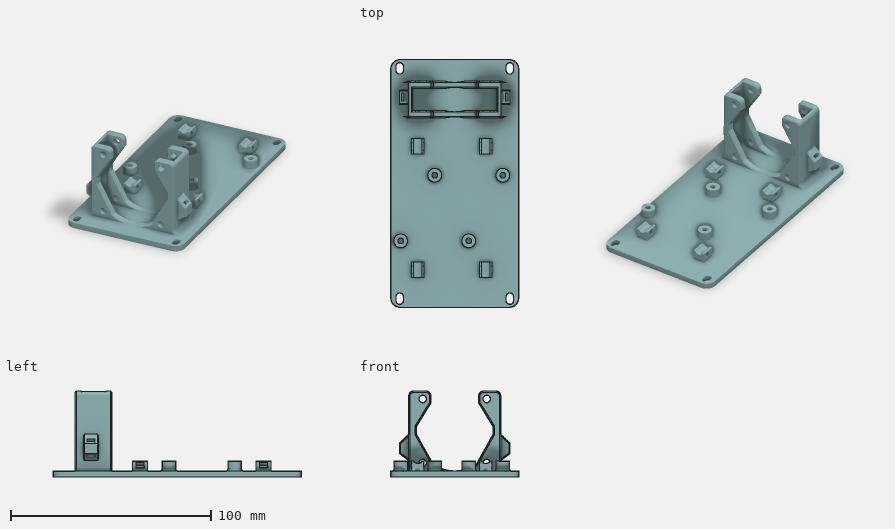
import cadquery as cq
import math

PLATE_LENGTH_X = 64.0
PLATE_LENGTH_Y = 124.0
PLATE_THICKNESS = 3.0
PLATE_CORNER_RADIUS = 5.0

SLOT_WIDTH = 3.6
SLOT_LENGTH = 5.6
SLOT_EDGE_OFFSET = 4.5

FAN_CENTRE_Y = 41.9
FAN_SIZE = 40.0
FAN_HOLE_SPACING = 32.0
FAN_HOLE_DIAMETER = 3.6
AIR_OPENING_RADIUS = 19.9
HOLDER_HALF_WIDTH = 23.0
HOLDER_DEPTH = 18.4
HOLDER_TOP_RADIUS = 2.5
HOLDER_FOOT_RADIUS = 2.6
HOLDER_EDGE_CHAMFER = 0.7
HOLDER_ROOT_Z = 1.0
EAR_TIP_X = 11.9
EAR_TIP_LOW_Z = 37.0
WAIST_X = 19.2
WAIST_TOP_Z = 25.1
WAIST_BOTTOM_Z = 21.5
OPENING_CORNER_X = 10.7
CAVITY_HALF_WIDTH = 21.0
CAVITY_DEPTH = 11.0
CAVITY_FLOOR_RADIUS = 3.5
CAVITY_TOP_FLARE = 0.8

LOOP_CENTRE_Y = 43.1
LOOP_WIDTH = 7.4
LOOP_PROJECTION = 4.7
LOOP_EDGE_CHAMFER = 0.55
LOOP_ROOT_TOP_Z = 22.4
LOOP_FACE_TOP_Z = 16.8
LOOP_FACE_BOTTOM_Z = 11.8
LOOP_ROOT_BOTTOM_Z = 7.5
LOOP_CHANNEL_OFFSET = 3.1
LOOP_CHANNEL_INNER_RADIUS = 5.4
LOOP_CHANNEL_OUTER_RADIUS = 7.1

PATTERN_CENTRE_X = -1.5
PATTERN_CENTRE_Y = -12.25
PATTERN_PITCH_X = 34.0

STANDOFF_PITCH_Y = 32.8
STANDOFF_HEIGHT = 5.0
STANDOFF_DIAMETER = 6.85
STANDOFF_HOLE_DIAMETER = 2.85
STANDOFF_FILLET = 1.0

SADDLE_PITCH_Y = 61.7
SADDLE_WIDTH_X = 6.2
SADDLE_WIDTH_Y = 7.6
SADDLE_HEIGHT = 5.0
SADDLE_GROOVE_RADIUS = 2.35
SADDLE_GROOVE_AXIS_RISE = 1.15
SADDLE_CHANNEL_INNER_RADIUS = 3.6
SADDLE_CHANNEL_OUTER_RADIUS = 5.4
STRAP_WIDTH = 4.0

plate_top = PLATE_THICKNESS
holder_top = plate_top + FAN_SIZE
fan_centre_z = plate_top + FAN_SIZE / 2


def cylinder_along_y(x, y_centre, z, radius, length):
    """Cylinder with its axis parallel to Y, centred on y_centre."""
    origin = (x, y_centre + length / 2, z)
    return cq.Workplane("XZ", origin=origin).circle(radius).extrude(length)


def strap_channel(x, y_centre, z, inner_radius, outer_radius):
    """Ring around a Y axis that guides a flat strap."""
    outer = cylinder_along_y(x, y_centre, z, outer_radius, STRAP_WIDTH)
    return outer.cut(cylinder_along_y(x, y_centre, z, inner_radius, STRAP_WIDTH))


def make_plate():
    plate = cq.Workplane("XY").box(PLATE_LENGTH_X, PLATE_LENGTH_Y, PLATE_THICKNESS, centered=(True, True, False))
    plate = plate.edges("|Z").fillet(PLATE_CORNER_RADIUS)
    slot_x = PLATE_LENGTH_X / 2 - SLOT_EDGE_OFFSET
    slot_y = PLATE_LENGTH_Y / 2 - SLOT_EDGE_OFFSET
    slots = (
        cq.Workplane("XY")
        .rect(2 * slot_x, 2 * slot_y, forConstruction=True)
        .vertices()
        .slot2D(SLOT_LENGTH, SLOT_WIDTH, 90)
        .extrude(PLATE_THICKNESS)
    )
    return plate.cut(slots)


def holder_prism(back_y, depth):
    """Front outline of the fan holder extruded from back_y toward -Y, chamfered at its -Y end."""
    bend = math.sqrt(0.5)
    foot_x = HOLDER_HALF_WIDTH + HOLDER_FOOT_RADIUS
    foot_bend_x = foot_x - HOLDER_FOOT_RADIUS * bend
    foot_top_z = plate_top + HOLDER_FOOT_RADIUS
    foot_bend_z = foot_top_z - HOLDER_FOOT_RADIUS * bend
    top_inset = HOLDER_TOP_RADIUS * (1 - bend)
    shoulder_z = holder_top - HOLDER_TOP_RADIUS
    corner_z = fan_centre_z - math.sqrt(AIR_OPENING_RADIUS**2 - OPENING_CORNER_X**2)
    opening_mid_x = OPENING_CORNER_X / 2
    opening_mid_z = fan_centre_z - math.sqrt(AIR_OPENING_RADIUS**2 - opening_mid_x**2)
    prism = (
        cq.Workplane("XZ", origin=(0, back_y, 0))
        .moveTo(0, HOLDER_ROOT_Z)
        .lineTo(foot_x, HOLDER_ROOT_Z)
        .lineTo(foot_x, plate_top)
        .threePointArc((foot_bend_x, foot_bend_z), (HOLDER_HALF_WIDTH, foot_top_z))
        .lineTo(HOLDER_HALF_WIDTH, shoulder_z)
        .threePointArc(
            (HOLDER_HALF_WIDTH - top_inset, holder_top - top_inset),
            (HOLDER_HALF_WIDTH - HOLDER_TOP_RADIUS, holder_top),
        )
        .lineTo(EAR_TIP_X + HOLDER_TOP_RADIUS, holder_top)
        .threePointArc((EAR_TIP_X + top_inset, holder_top - top_inset), (EAR_TIP_X, shoulder_z))
        .lineTo(EAR_TIP_X, EAR_TIP_LOW_Z)
        .lineTo(WAIST_X, WAIST_TOP_Z)
        .lineTo(WAIST_X, WAIST_BOTTOM_Z)
        .lineTo(OPENING_CORNER_X, corner_z)
        .threePointArc((opening_mid_x, opening_mid_z), (0, fan_centre_z - AIR_OPENING_RADIUS))
        .mirrorY()
        .extrude(depth)
    )
    return prism.faces("<Y").chamfer(HOLDER_EDGE_CHAMFER)


def mirror_front_to_back(front):
    """Join a front half of the holder with its mirror image behind the fan centre plane."""
    return front.union(front.mirror("XZ", (0, FAN_CENTRE_Y, 0)))


def make_side_walls():
    """Both side walls with their flared feet, over the full depth of the holder."""
    flare_bottom_z = holder_top - CAVITY_TOP_FLARE
    flare_half_width = CAVITY_HALF_WIDTH + CAVITY_TOP_FLARE
    cavity = (
        cq.Workplane("XZ", origin=(0, FAN_CENTRE_Y + HOLDER_DEPTH / 2, 0))
        .moveTo(0, plate_top)
        .lineTo(CAVITY_HALF_WIDTH, plate_top)
        .lineTo(CAVITY_HALF_WIDTH, flare_bottom_z)
        .lineTo(flare_half_width, holder_top)
        .lineTo(0, holder_top)
        .mirrorY()
        .extrude(HOLDER_DEPTH)
    )
    cavity = cavity.edges("|Y and <Z").fillet(CAVITY_FLOOR_RADIUS)
    body = mirror_front_to_back(holder_prism(FAN_CENTRE_Y, HOLDER_DEPTH / 2))
    return body.cut(cavity)


def make_profiled_walls():
    """Front and back walls, with the outline chamfered on both faces of each wall."""
    wall_thickness = (HOLDER_DEPTH - CAVITY_DEPTH) / 2
    wall_middle_y = FAN_CENTRE_Y - (CAVITY_DEPTH + wall_thickness) / 2
    outer_half = holder_prism(wall_middle_y, wall_thickness / 2)
    wall = outer_half.union(outer_half.mirror("XZ", (0, wall_middle_y, 0)))
    return mirror_front_to_back(wall)


def make_fan_holes():
    holes = (
        cq.Workplane("XZ", origin=(0, FAN_CENTRE_Y + HOLDER_DEPTH / 2, fan_centre_z))
        .rect(FAN_HOLE_SPACING, FAN_HOLE_SPACING, forConstruction=True)
        .vertices()
        .circle(FAN_HOLE_DIAMETER / 2)
        .extrude(HOLDER_DEPTH)
    )
    return holes


def make_strap_loop():
    """Loop on the +X side wall with a curved strap channel through it."""
    face_x = HOLDER_HALF_WIDTH + LOOP_PROJECTION
    wall_x = (CAVITY_HALF_WIDTH + HOLDER_HALF_WIDTH) / 2
    loop = (
        cq.Workplane("XZ", origin=(0, LOOP_CENTRE_Y + LOOP_WIDTH / 2, 0))
        .moveTo(wall_x, LOOP_ROOT_TOP_Z)
        .lineTo(face_x, LOOP_FACE_TOP_Z)
        .lineTo(face_x, LOOP_FACE_BOTTOM_Z)
        .lineTo(wall_x, LOOP_ROOT_BOTTOM_Z)
        .close()
        .extrude(LOOP_WIDTH)
    )
    loop = loop.faces("<Y or >Y").edges("not <X").chamfer(LOOP_EDGE_CHAMFER)
    channel_z = (LOOP_FACE_TOP_Z + LOOP_FACE_BOTTOM_Z) / 2
    channel = strap_channel(
        face_x + LOOP_CHANNEL_OFFSET,
        LOOP_CENTRE_Y,
        channel_z,
        LOOP_CHANNEL_INNER_RADIUS,
        LOOP_CHANNEL_OUTER_RADIUS,
    )
    return loop.cut(channel)


def make_fan_holder():
    holder = make_side_walls().union(make_profiled_walls()).cut(make_fan_holes())
    loop = make_strap_loop()
    return holder.union(loop).union(loop.mirror("YZ"))


def make_standoff(x, y):
    """Screw post with a blind hole down to the plate and a fillet around its foot."""
    radius = STANDOFF_DIAMETER / 2
    foot_radius = radius + STANDOFF_FILLET
    bend = STANDOFF_FILLET * (1 - math.sqrt(0.5))
    hole_radius = STANDOFF_HOLE_DIAMETER / 2
    standoff = (
        cq.Workplane("XZ")
        .moveTo(hole_radius, 0)
        .lineTo(foot_radius, 0)
        .threePointArc((radius + bend, bend), (radius, STANDOFF_FILLET))
        .lineTo(radius, STANDOFF_HEIGHT)
        .lineTo(hole_radius, STANDOFF_HEIGHT)
        .close()
        .revolve(360, (0, 0, 0), (0, 1, 0))
    )
    return standoff.translate((x, y, plate_top))


def make_saddle(x, y):
    saddle = (
        cq.Workplane("XY", origin=(x, y, plate_top))
        .rect(SADDLE_WIDTH_X, SADDLE_WIDTH_Y)
        .extrude(SADDLE_HEIGHT)
    )
    axis_z = plate_top + SADDLE_HEIGHT + SADDLE_GROOVE_AXIS_RISE
    groove = cylinder_along_y(x, y, axis_z, SADDLE_GROOVE_RADIUS, SADDLE_WIDTH_Y)
    channel = strap_channel(x, y, axis_z, SADDLE_CHANNEL_INNER_RADIUS, SADDLE_CHANNEL_OUTER_RADIUS)
    return saddle.cut(groove).cut(channel)


result = make_plate().union(make_fan_holder())

for row in (-1, 1):
    row_shift = row * PATTERN_PITCH_X / 4
    for column in (-1, 1):
        column_x = PATTERN_CENTRE_X + column * PATTERN_PITCH_X / 2
        standoff_y = PATTERN_CENTRE_Y + row * STANDOFF_PITCH_Y / 2
        saddle_y = PATTERN_CENTRE_Y + row * SADDLE_PITCH_Y / 2
        result = result.union(make_standoff(column_x + row_shift, standoff_y))
        result = result.union(make_saddle(column_x, saddle_y))